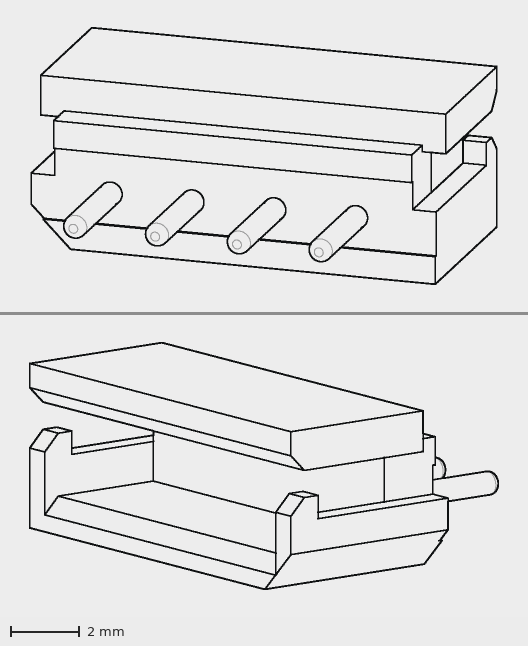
import cadquery as cq

length = 12.4
depth = 5.89
height = 4.9
corner_chamfer = 1.24

lid_thickness = 1.22
lid_depth = 4.89
floor_thickness = 1.0
lead_in = 0.5

rail_width = 0.72
wall_thickness = 1.88
wall_height = 3.88

rail_height = 2.18
lip_height = 2.88
lip_depth = 1.0

relief_depth = 0.09
standoff_height = 0.84

pin_count = 4
pin_pitch = 2.5
pin_diameter = 0.7
pin_z = 1.8
pin_overhang = 3.51
pin_tip_radius = 0.21


def extrude_profile(points, x_start, x_length):
    """Extrude a (Y, Z) outline along +X."""
    return cq.Workplane("YZ", origin=(x_start, 0, 0)).polyline(points).close().extrude(x_length)


def make_lid():
    lid_bottom = height - lid_thickness
    return extrude_profile(
        [
            (depth - lid_depth, height),
            (depth, height),
            (depth, lid_bottom + lead_in),
            (depth - lead_in, lid_bottom),
            (depth - lid_depth, lid_bottom),
        ],
        0,
        length,
    )


def make_floor():
    return extrude_profile(
        [
            (0, 0),
            (depth, 0),
            (depth, floor_thickness - lead_in),
            (depth - lead_in, floor_thickness),
            (0, floor_thickness),
        ],
        0,
        length,
    )


def make_rail(x_start):
    return extrude_profile(
        [
            (0, 0),
            (depth, 0),
            (depth, lip_height - lead_in),
            (depth - lead_in, lip_height),
            (depth - lip_depth, lip_height),
            (depth - lip_depth, rail_height),
            (0, rail_height),
        ],
        x_start,
        rail_width,
    )


def make_wall():
    wall_length = length - 2 * rail_width
    return cq.Workplane("XY").box(wall_length, wall_thickness, wall_height, centered=False).translate(
        (rail_width, 0, 0)
    )


def make_relief():
    relief_height = wall_height - 2 * standoff_height
    return cq.Workplane("XY").box(length, relief_depth, relief_height, centered=False).translate(
        (0, 0, standoff_height)
    )


def make_corner_cut():
    return (
        cq.Workplane("XZ")
        .polyline([(0, 0), (corner_chamfer, 0), (0, corner_chamfer)])
        .close()
        .extrude(-depth)
    )


def make_pin(x):
    root_y = wall_thickness / 2
    return (
        cq.Workplane("XZ", origin=(x, root_y, pin_z))
        .circle(pin_diameter / 2)
        .extrude(root_y + pin_overhang)
        .faces("<Y")
        .edges()
        .fillet(pin_tip_radius)
    )


result = make_lid().union(make_wall()).union(make_floor())
for rail_x in (0, length - rail_width):
    result = result.union(make_rail(rail_x))
result = result.cut(make_relief()).cut(make_corner_cut())

first_pin_x = (length - (pin_count - 1) * pin_pitch) / 2
for index in range(pin_count):
    result = result.union(make_pin(first_pin_x + index * pin_pitch))